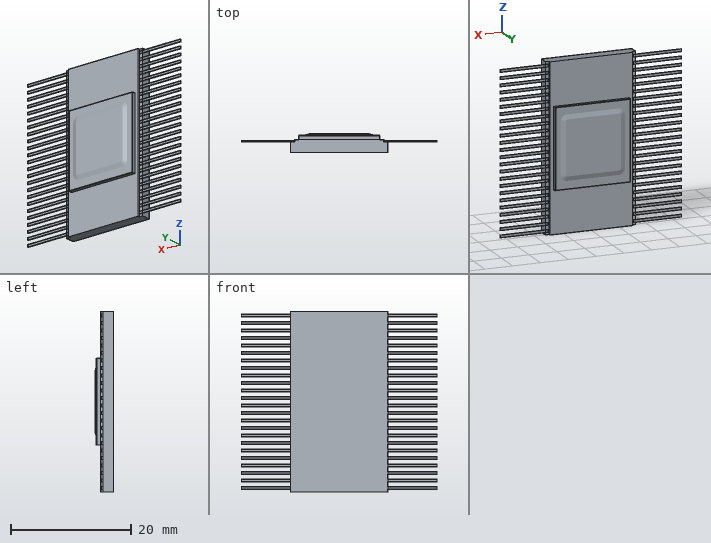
import cadquery as cq

TOTAL_HEIGHT = 3.15
BOTTOM_Y = -TOTAL_HEIGHT / 2

HOUSING_WIDTH = 16.25
HOUSING_LENGTH = 30.1
HOUSING_HEIGHT = 2.2
LEDGE_WIDTH = 0.7

LEADS_PER_SIDE = 24
LEAD_ROW_LENGTH = 28.72
LEAD_SPAN = 32.6
LEAD_WIDTH = 0.45
LEAD_THICKNESS = 0.2
LEAD_TOP_DROP = 0.18
LEAD_END_GAP = 0.2

FRAME_WIDTH = 13.53
FRAME_LENGTH = 14.47

FLANGE_MARGIN = 0.05
FLANGE_THICKNESS = 0.108
PANEL_HEIGHT = 0.245
PANEL_BASE_SIZE = 11.55
PANEL_BASE_CORNER_RADIUS = 1.15
PANEL_SLOPE_RUN = 0.8

FRAME_BASE_Y = BOTTOM_Y + HOUSING_HEIGHT
PANEL_BASE_Y = BOTTOM_Y + TOTAL_HEIGHT - PANEL_HEIGHT
LID_BASE_Y = PANEL_BASE_Y - FLANGE_THICKNESS
LEDGE_Y = FRAME_BASE_Y - LEAD_TOP_DROP - LEAD_THICKNESS
LEAD_PITCH = LEAD_ROW_LENGTH / (LEADS_PER_SIDE - 1)


def block(width, length, y_low, y_high):
    """A block centred in X and Z that reaches from y_low to y_high."""
    return cq.Workplane("XY").box(width, y_high - y_low, length).translate((0, (y_low + y_high) / 2, 0))


def make_lead(side, z):
    """One lead on the ledge at the -X side (side = -1) or the +X side (side = 1)."""
    inner_x = HOUSING_WIDTH / 2 - LEDGE_WIDTH + LEAD_END_GAP
    outer_x = LEAD_SPAN / 2
    strip = block(outer_x - inner_x, LEAD_WIDTH, LEDGE_Y, LEDGE_Y + LEAD_THICKNESS)
    return strip.translate((side * (inner_x + outer_x) / 2, 0, z))


def make_housing():
    """The stepped slab joined with its two rows of leads."""
    lower_slab = block(HOUSING_WIDTH, HOUSING_LENGTH, BOTTOM_Y, LEDGE_Y)
    upper_slab = block(HOUSING_WIDTH - 2 * LEDGE_WIDTH, HOUSING_LENGTH, LEDGE_Y, FRAME_BASE_Y)
    housing = lower_slab.union(upper_slab)
    first_z = -LEAD_ROW_LENGTH / 2
    for index in range(LEADS_PER_SIDE):
        for side in (-1, 1):
            housing = housing.union(make_lead(side, first_z + index * LEAD_PITCH))
    return housing


def make_frame():
    """The block between the housing and the lid."""
    return block(FRAME_WIDTH, FRAME_LENGTH, FRAME_BASE_Y, LID_BASE_Y)


def rounded_square(size, corner_radius):
    """A flat square outline with rounded corners."""
    return cq.Sketch().rect(size, size).vertices().fillet(corner_radius)


def make_lid():
    """A thin flange with a raised panel lofted from a large outline to a smaller one."""
    flange_width = FRAME_WIDTH - 2 * FLANGE_MARGIN
    flange_length = FRAME_LENGTH - 2 * FLANGE_MARGIN
    flange = block(flange_width, flange_length, LID_BASE_Y, PANEL_BASE_Y)
    lower = rounded_square(PANEL_BASE_SIZE, PANEL_BASE_CORNER_RADIUS)
    upper = rounded_square(PANEL_BASE_SIZE - 2 * PANEL_SLOPE_RUN, PANEL_BASE_CORNER_RADIUS - PANEL_SLOPE_RUN)
    raised_place = cq.Location(cq.Vector(0, 0, -PANEL_HEIGHT))
    base_plane = cq.Workplane("XZ", origin=(0, PANEL_BASE_Y, 0))
    panel = base_plane.placeSketch(lower, upper.moved(raised_place)).loft()
    return flange.union(panel)


housing = make_housing()
frame = make_frame()
lid = make_lid()
result = cq.Compound.makeCompound([housing.val(), frame.val(), lid.val()])